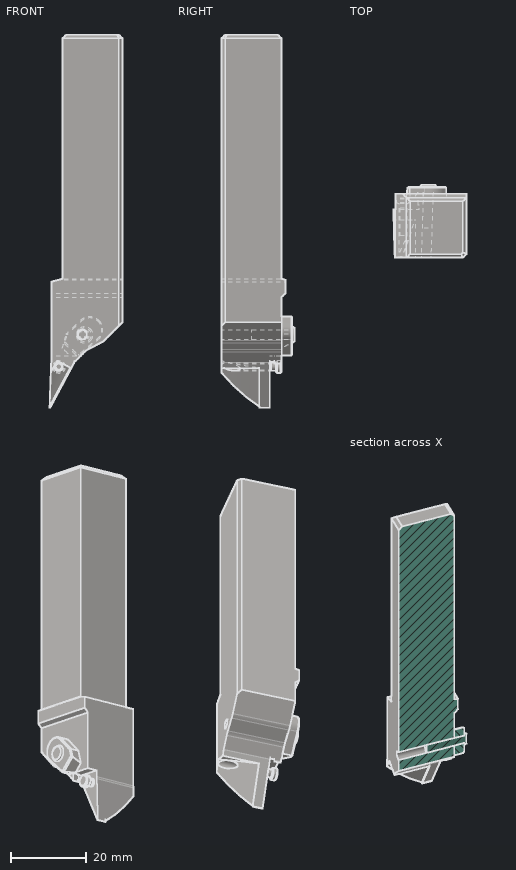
import cadquery as cq
import math


total_height = 99.4
shank = 16.0
edge_chamfer = 1.0
head_overhang = 3.0
shoulder_z = 34.4
shoulder_angle = 15.0
shoulder_slope = math.tan(math.radians(shoulder_angle))
profile_radius = 4.0
back_edge_z = 22.8
upper_bend = (10.8, 17.6)
lower_bend = (6.4, 15.3)

cut_margin = 1.0

tip_left_x = -3.5
tip_right_x = -3.3
relief_start_z = 12.2
relief_end_z = 11.6
relief_step = 0.1
tail_back_x = 3.2
tail_back_z = 12.1
tail_angle = math.atan2(tail_back_z, tail_back_x - tip_right_x)

clearance_start_x = -3.0
clearance_start_z = 9.6
clearance_width = 4.0
clearance_depth = 10.1
clearance_bulge = 0.3
clearance_rise = 3.3
clearance_reach = 14.9
clearance_side = 6.0

ridge_height = 1.1
ridge_low_z = 30.5

seat_y = 12.9
seat_top_z = 13.9
seat_right_x = 3.0
seat_relief = 0.3
seat_relief_height = 1.2

pin_x = -1.0
pin_z = 10.9
pin_radius = 1.1
pin_tail_radius = 0.8
bushing_top_y = 13.3
pin_head_radius = 1.7
pin_head_length = 1.5
pin_head_chamfer = 0.3
pin_end_y = 6.0

clamp_thickness = 2.9
clamp_top_y = shank + clamp_thickness
clamp_chamfer = 0.3
heel_x = 7.2
heel_z = 20.9
heel_radius = 3.5
side_corner = (0.9, 19.7)
nose_end = (4.4, seat_top_z)
nose_side_lean = 0.28
nose_low_corner_z = 16.0
nose_high_corner_z = 17.5

screw_x = 5.2
screw_z = 19.5
screw_lean = 2.0
screw_radius = 1.3
screw_end_y = 8.0
screw_head_radius = 2.2
screw_head_top_radius = 1.8
screw_head_height = 0.6
lean = math.radians(screw_lean)
screw_axis = cq.Vector(math.sin(lean), math.cos(lean), 0)


def y_cylinder(x, z, radius, y_start, y_end):
    """Cylinder parallel to Y between two Y levels."""
    axis_start = cq.Vector(x, y_start, z)
    return cq.Workplane(obj=cq.Solid.makeCylinder(radius, y_end - y_start, axis_start, cq.Vector(0, 1, 0)))


def point_on_screw_axis(y):
    """Point where the leaning screw axis crosses a Y level."""
    return cq.Vector(screw_x + y * math.tan(lean), y, screw_z)


def screw_cylinder(y_start, y_end):
    """Cylinder of the screw diameter along the leaning screw axis."""
    length = (y_end - y_start) / math.cos(lean)
    return cq.Workplane(
        obj=cq.Solid.makeCylinder(screw_radius, length, point_on_screw_axis(y_start), screw_axis)
    )


def holder_outline(depth):
    """Silhouette of shank, head and tail, extruded from Y = 0 toward +Y."""
    outline = [
        (0, total_height),
        (shank, total_height),
        (shank, back_edge_z),
        upper_bend,
        lower_bend,
        (tail_back_x, tail_back_z),
        (tip_right_x, 0),
        (tip_left_x, 0),
        (-head_overhang - relief_step, relief_end_z),
        (-head_overhang, relief_start_z),
        (-head_overhang, shoulder_z - head_overhang * shoulder_slope),
        (0, shoulder_z),
    ]
    body = cq.Workplane("XZ").polyline(outline).close().extrude(-depth)
    for x, z in (upper_bend, lower_bend):
        bend_edge = cq.selectors.NearestToPointSelector((x, depth / 2, z))
        body = body.edges("|Y").edges(bend_edge).fillet(profile_radius)
    return body


def back_ridge():
    """Ridge with a sloped top and a 45 degree underside, trimmed to the holder outline."""
    outer_y = shank + ridge_height
    section = [
        (seat_y, shoulder_z),
        (shank, shoulder_z),
        (outer_y, shoulder_z - ridge_height * shoulder_slope),
        (outer_y, ridge_low_z),
        (shank, ridge_low_z - ridge_height),
        (seat_y, ridge_low_z - ridge_height),
    ]
    full_width = head_overhang + shank
    bar = cq.Workplane("YZ", origin=(-head_overhang, 0, 0)).polyline(section).close().extrude(full_width)
    return bar.intersect(holder_outline(outer_y))


def tail_clearance():
    """Cutter with a curved floor running parallel to the back edge of the tail."""
    rise = cq.Vector(math.cos(tail_angle), 0, math.sin(tail_angle))
    across = cq.Vector(rise.z, 0, -rise.x)
    start = cq.Vector(clearance_start_x, 0, clearance_start_z) - rise * clearance_reach
    plane = cq.Plane(origin=start.toTuple(), xDir=across.toTuple(), normal=rise.toTuple())
    floor_middle = (clearance_width / 2 + clearance_bulge, clearance_depth / 2)
    return (
        cq.Workplane(plane)
        .threePointArc(floor_middle, (clearance_width, clearance_depth))
        .lineTo(clearance_side, clearance_depth)
        .lineTo(clearance_side, 0)
        .close()
        .extrude(clearance_reach + clearance_rise)
    )


def seat_layer(y, right_x):
    """Outline of the seat at a Y level, with its wall at the given X."""
    left_x = tip_left_x - cut_margin
    open_z = tail_back_z - cut_margin
    section = [
        (left_x, seat_top_z),
        (right_x, seat_top_z),
        (right_x, open_z),
        (shank, open_z),
        (shank, -cut_margin),
        (left_x, -cut_margin),
    ]
    return cq.Workplane("XZ", origin=(0, y, 0)).polyline(section).close()


def insert_seat():
    """Cutter for the open seat at the lower end of the head, undercut at the foot of its wall."""
    seat = seat_layer(seat_y, seat_right_x).extrude(-shank)
    relief = seat_layer(seat_y, seat_right_x + seat_relief).extrude(-seat_relief_height)
    return seat.union(relief)


def make_holder():
    body = holder_outline(shank)
    body = body.edges("|Z and >X and <Y").chamfer(edge_chamfer)
    body = body.faces(">Z").edges().chamfer(edge_chamfer)
    body = body.union(back_ridge())
    body = body.cut(insert_seat()).cut(tail_clearance())
    body = body.cut(y_cylinder(pin_x, pin_z, pin_radius, 0, seat_y))
    return body.cut(screw_cylinder(-cut_margin, shank + cut_margin))


def make_pin():
    """Headed pin with a thinner tail that fits the bushing."""
    head_y = shank - pin_head_length
    tail = y_cylinder(pin_x, pin_z, pin_tail_radius, pin_end_y, bushing_top_y)
    stem = y_cylinder(pin_x, pin_z, pin_radius, bushing_top_y, head_y)
    head = y_cylinder(pin_x, pin_z, pin_head_radius, head_y, shank)
    head = head.edges().chamfer(pin_head_chamfer)
    return tail.union(stem).union(head)


def make_bushing():
    """Sleeve around the pin tail, standing slightly proud of the seat floor."""
    sleeve = y_cylinder(pin_x, pin_z, pin_radius, pin_end_y, bushing_top_y)
    return sleeve.cut(y_cylinder(pin_x, pin_z, pin_tail_radius, pin_end_y, bushing_top_y))


def heel_tangent_angle(point, side):
    """Angle around the heel centre where a line from the point touches the heel."""
    dx = point[0] - heel_x
    dz = point[1] - heel_z
    return math.atan2(dz, dx) + side * math.acos(heel_radius / math.hypot(dx, dz))


def heel_point(angle):
    return (heel_x + heel_radius * math.cos(angle), heel_z + heel_radius * math.sin(angle))


def clamp_outline(y, corner_z):
    """Clamp outline at one Y level, with its nose bevel starting at the given height."""
    corner_x = side_corner[0] - nose_side_lean * (side_corner[1] - corner_z)
    bevel_end_x = corner_x + corner_z - seat_top_z
    lower_angle = heel_tangent_angle(nose_end, 1)
    upper_angle = heel_tangent_angle(side_corner, -1) % (2 * math.pi)
    return (
        cq.Workplane("XZ", origin=(0, y, 0))
        .moveTo(*side_corner)
        .lineTo(corner_x, corner_z)
        .lineTo(bevel_end_x, seat_top_z)
        .lineTo(*nose_end)
        .lineTo(*heel_point(lower_angle))
        .threePointArc(heel_point((lower_angle + upper_angle) / 2), heel_point(upper_angle))
        .close()
        .wire()
        .val()
    )


def make_clamp():
    lower = clamp_outline(shank, nose_low_corner_z)
    upper = clamp_outline(clamp_top_y, nose_high_corner_z)
    body = cq.Workplane(obj=cq.Solid.makeLoft([lower, upper], True))
    body = body.faces(">Y").edges().chamfer(clamp_chamfer)
    return body.cut(screw_cylinder(shank - cut_margin, clamp_top_y + cut_margin))


def make_clamp_screw():
    """Screw with a low tapered head on the clamp."""
    shaft = screw_cylinder(screw_end_y, clamp_top_y)
    seat = point_on_screw_axis(clamp_top_y)
    head = (
        cq.Workplane("XZ", origin=seat.toTuple())
        .circle(screw_head_radius)
        .workplane(offset=-screw_head_height)
        .circle(screw_head_top_radius)
        .loft()
    )
    return shaft.union(head)


holder = make_holder()
pin = make_pin()
bushing = make_bushing()
clamp = make_clamp()
clamp_screw = make_clamp_screw()

result = cq.Compound.makeCompound(
    [holder.val(), pin.val(), bushing.val(), clamp.val(), clamp_screw.val()]
)